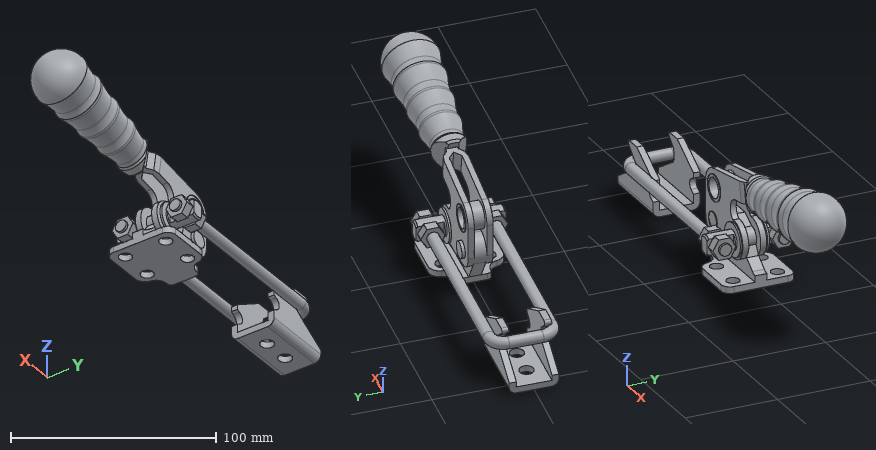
import cadquery as cq
import math


overall_length = 214.5
overall_height = 76.5
sheet = 3.6
lever_y = -0.6
grip_y = -1.5
lever_width = 12.9
fork_gap = 6.5
lever_angle = math.radians(10)

draw_z = 20.2
trunnion_x = 118.8
pin_x, pin_z = 95.6, 21.0
tube_x, tube_z = 97.0, 38.8

lever_corner_radius = 10.0
pin_corner_radius = 8.8
notch_x, notch_z, notch_radius = 121.0, 35.5, 6.2

axis_dir = (math.cos(lever_angle), math.sin(lever_angle))
axis_up = (-math.sin(lever_angle), math.cos(lever_angle))


def offset(x, z, direction, distance):
    """Point at a distance from (x, z) along a unit direction in the XZ plane."""
    return (x + distance * direction[0], z + distance * direction[1])


def unit(degrees):
    """Unit direction in the XZ plane at an angle from +X."""
    angle = math.radians(degrees)
    return (math.cos(angle), math.sin(angle))


def side_plane(middle_y, width):
    """XZ workplane on the +Y face of a slab, so that a positive extrude fills the slab."""
    return cq.Workplane("XZ", origin=(0, middle_y + width / 2, 0))


def cross_rod(x, z, radius, middle_y, length):
    """Cylinder along Y, centred on middle_y."""
    return side_plane(middle_y, length).center(x, z).circle(radius).extrude(length)


catch_length = 39.7
catch_width = 25.5
catch_bend_radius = 3.9
catch_hole_radius = 3.6
catch_hole_xs = (12.2, 27.5)
catch_top = 30.7
catch_back_z = 20.0


def make_catch():
    side = (
        side_plane(0, catch_width)
        .moveTo(0, 0)
        .lineTo(catch_length, 0)
        .lineTo(catch_length, 8.5)
        .lineTo(36.9, 10.0)
        .threePointArc((35.4, 13.3), (38.2, 16.3))
        .lineTo(catch_length, 17.2)
        .lineTo(catch_length, catch_back_z)
        .lineTo(21.5, catch_top)
        .lineTo(13.0, catch_top)
        .threePointArc((11.5, 29.5), (12.0, 28.3))
        .lineTo(17.2, 23.8)
        .threePointArc((17.8, draw_z), (16.5, 16.3))
        .lineTo(0, 6.6)
        .close()
        .extrude(catch_width)
        .edges("|X and <Z")
        .fillet(catch_bend_radius)
    )
    channel = cq.Workplane("XY").box(
        catch_length, catch_width - 2 * sheet, catch_top, centered=(False, True, False)
    )
    holes = (
        cq.Workplane("XY")
        .pushPoints([(x, 0) for x in catch_hole_xs])
        .circle(catch_hole_radius)
        .extrude(sheet)
    )
    return side.cut(channel.translate((0, 0, sheet))).cut(holes)


rod_radius = 3.2
rod_leg_y = 16.0
rod_cross_x = 14.8
rod_end_x = 128.5
rod_bend_radius = 7.3
nut_flats = 11.0
nut_corners = nut_flats / math.cos(math.pi / 6)
nut_length = 5.1
trunnion_thickness = 6.2


def make_draw_bar():
    path = (
        cq.Workplane("XY", origin=(0, 0, draw_z))
        .moveTo(rod_end_x, -rod_leg_y)
        .lineTo(rod_cross_x + rod_bend_radius, -rod_leg_y)
        .tangentArcPoint((rod_cross_x, rod_bend_radius - rod_leg_y), relative=False)
        .lineTo(rod_cross_x, rod_leg_y - rod_bend_radius)
        .tangentArcPoint((rod_cross_x + rod_bend_radius, rod_leg_y), relative=False)
        .lineTo(rod_end_x, rod_leg_y)
    )
    bar = (
        cq.Workplane("YZ", origin=(rod_end_x, -rod_leg_y, draw_z))
        .circle(rod_radius)
        .sweep(path)
    )
    nut_starts = (
        trunnion_x - trunnion_thickness / 2 - nut_length,
        trunnion_x + trunnion_thickness / 2,
    )
    for x in nut_starts:
        nuts = (
            cq.Workplane("YZ", origin=(x, 0, draw_z))
            .pushPoints([(-rod_leg_y, 0), (rod_leg_y, 0)])
            .polygon(6, nut_corners)
            .extrude(nut_length)
        )
        bar = bar.union(nuts)
    return bar


trunnion_length = 46.0
trunnion_radius = 5.4
trunnion_chamfer = 0.9
round_half_length = 8.8
washer_radius = 9.0
washer_outer_y, washer_inner_y = 8.0, 6.9


def make_trunnion():
    pin = cross_rod(trunnion_x, draw_z, trunnion_radius, 0, trunnion_length)
    pin = pin.faces("<Y or >Y").chamfer(trunnion_chamfer)
    flats = cq.Workplane("XY", origin=(trunnion_x, 0, draw_z)).box(
        trunnion_thickness, trunnion_length, 2 * trunnion_radius
    )
    core = cross_rod(trunnion_x, draw_z, trunnion_radius, 0, 2 * round_half_length)
    washers = cross_rod(trunnion_x, draw_z, washer_radius, 0, 2 * washer_outer_y)
    washer_gap = cross_rod(trunnion_x, draw_z, washer_radius, 0, 2 * washer_inner_y)
    return pin.intersect(flats).union(core).union(washers.cut(washer_gap))


base_left, base_right = 95.8, 136.0
flange_half_width = 19.3
tongue_half_width = 9.0
tongue_end_x = 99.0
shoulder_x = 110.8
flange_corner_radius = 4.7
tongue_corner_radius = 2.5
base_hole_radius = 3.5
base_hole_y = 12.0
base_hole_xs = (110.8, 129.3)
web_top = pin_z + pin_corner_radius
web_top_end_x = 111.0
web_right_z = 7.0


def make_flange():
    mid_x = (tongue_end_x + shoulder_x) / 2
    mid_y = (tongue_half_width + flange_half_width) / 2
    half = (
        cq.Workplane("XY", origin=(0, lever_y, 0))
        .moveTo(base_left, 0)
        .lineTo(base_left, tongue_half_width)
        .lineTo(tongue_end_x, tongue_half_width)
        .tangentArcPoint((mid_x, mid_y), relative=False)
        .tangentArcPoint((shoulder_x, flange_half_width), relative=False)
        .lineTo(base_right, flange_half_width)
        .lineTo(base_right, 0)
        .close()
        .extrude(sheet)
    )
    half = half.edges("|Z and >X and >Y").fillet(flange_corner_radius)
    flange = half.union(half.mirror("XZ", (0, lever_y, 0)))
    flange = flange.edges("|Z and <X").fillet(tongue_corner_radius)
    holes = (
        cq.Workplane("XY", origin=(0, lever_y, 0))
        .pushPoints([(x, side * base_hole_y) for x in base_hole_xs for side in (-1, 1)])
        .circle(base_hole_radius)
        .extrude(sheet)
    )
    return flange.cut(holes)


def make_web():
    return (
        side_plane(lever_y, fork_gap)
        .moveTo(base_left, 0)
        .lineTo(base_left, sheet)
        .lineTo(*offset(pin_x, pin_z, unit(210), pin_corner_radius))
        .threePointArc(
            offset(pin_x, pin_z, unit(150), pin_corner_radius),
            (pin_x, web_top),
        )
        .lineTo(web_top_end_x, web_top)
        .lineTo(trunnion_x, draw_z + trunnion_radius)
        .lineTo(126.5, 12.9)
        .lineTo(133.0, 8.1)
        .threePointArc((134.5, 7.3), (base_right, web_right_z))
        .lineTo(base_right, 0)
        .close()
        .extrude(fork_gap)
    )


ball_diameter = 30.2
ball_radius = ball_diameter / 2
ball_x = overall_length - ball_radius
ball_z = overall_height - ball_radius
collar_start = -67.0
collar_start_radius = 8.8
collar_radius = 9.9
collar_slope = 1.3
neck = (-60.0, 9.2)
first_valley = (-57.5, 9.0)
crests = ((-47.4, 11.1), (-31.7, 12.5), (-15.2, 14.0))
valleys = ((-41.2, 10.7), (-25.3, 12.0), (-9.9, 13.3))
crest_land = 1.3
rise_sag = 0.25
wedge_start_half_width = 2.8
wedge_length = 10.7


def hollow_mid(start, end):
    """Middle point of a rising stretch, pushed slightly inwards."""
    return ((start[0] + end[0]) / 2, (start[1] + end[1]) / 2 - rise_sag)


def make_grip():
    profile = (
        cq.Workplane("XY")
        .moveTo(collar_start, 0)
        .lineTo(collar_start, collar_start_radius)
        .lineTo(collar_start + collar_slope, collar_radius)
        .lineTo(neck[0] - collar_slope, collar_radius)
        .lineTo(*neck)
        .lineTo(*first_valley)
    )
    start = first_valley
    for crest, valley in zip(crests, valleys):
        land_end = (crest[0] + crest_land, crest[1])
        profile = (
            profile.threePointArc(hollow_mid(start, crest), crest)
            .lineTo(*land_end)
            .threePointArc(hollow_mid(land_end, valley), valley)
        )
        start = valley
    ball_start = (0, ball_radius)
    diagonal = ball_radius * math.sqrt(0.5)
    grip = (
        profile.threePointArc(hollow_mid(start, ball_start), ball_start)
        .threePointArc((diagonal, diagonal), (ball_radius, 0))
        .close()
        .revolve(360, (0, 0, 0), (1, 0, 0))
    )
    wide = wedge_start_half_width + wedge_length
    wedge = (
        cq.Workplane("XY", origin=(0, 0, -ball_radius))
        .moveTo(collar_start, -wedge_start_half_width)
        .lineTo(collar_start + wedge_length, -wide)
        .lineTo(collar_start + wedge_length, -2 * ball_radius)
        .lineTo(2 * ball_radius, -2 * ball_radius)
        .lineTo(2 * ball_radius, 2 * ball_radius)
        .lineTo(collar_start + wedge_length, 2 * ball_radius)
        .lineTo(collar_start + wedge_length, wide)
        .lineTo(collar_start, wedge_start_half_width)
        .close()
        .extrude(2 * ball_radius)
    )
    grip = grip.intersect(wedge)
    grip = grip.rotate((0, 0, 0), (0, 1, 0), -math.degrees(lever_angle))
    return grip.translate((ball_x, grip_y, ball_z))


tang_end = -60.0
tang_half_width = 3.0
bend_start, bend_middle, bend_end = -74.5, -71.0, -68.0
bend_middle_half_width = 5.5
fork_end, fork_apex = -73.1, -70.0
tube_radius = 7.0
tube_bore_radius = 5.4
tube_length = 13.7
pin_radius = 4.5
pin_length = 15.0


def make_lever_blank():
    """Lever outline in XZ, filled over the full lever width."""
    tang_top = offset(tube_x, tube_z, axis_up, lever_corner_radius)
    notch_top = offset(notch_x, notch_z, axis_up, notch_radius)
    arm_length = (ball_x - tube_x) / axis_dir[0] + tang_end
    notch_length = (ball_x - notch_x) / axis_dir[0] + tang_end
    span = math.hypot(trunnion_x - pin_x, draw_z - pin_z)
    tilt = math.degrees(
        math.atan2(draw_z - pin_z, trunnion_x - pin_x)
        - math.asin((lever_corner_radius - pin_corner_radius) / span)
    )
    under = unit(tilt - 90)
    blank = (
        side_plane(lever_y, lever_width)
        .moveTo(tube_x - lever_corner_radius, pin_z)
        .lineTo(tube_x - lever_corner_radius, tube_z)
        .threePointArc(offset(tube_x, tube_z, unit(140), lever_corner_radius), tang_top)
        .lineTo(*offset(*tang_top, axis_dir, arm_length))
        .lineTo(*offset(*notch_top, axis_dir, notch_length))
        .lineTo(*notch_top)
        .threePointArc(
            (notch_x - notch_radius, notch_z),
            offset(notch_x, notch_z, unit(240), notch_radius),
        )
        .lineTo(*offset(trunnion_x, draw_z, unit(95), lever_corner_radius))
        .threePointArc(
            offset(trunnion_x, draw_z, unit(0), lever_corner_radius),
            offset(trunnion_x, draw_z, under, lever_corner_radius),
        )
        .lineTo(*offset(pin_x, pin_z, under, pin_corner_radius))
        .threePointArc(
            offset(pin_x, pin_z, unit(225), pin_corner_radius),
            (tube_x - lever_corner_radius, pin_z),
        )
        .close()
    )
    return blank.extrude(lever_width)


def make_lever():
    half_width = lever_width / 2
    half_gap = fork_gap / 2
    reach = 150
    plan = cq.Workplane(
        cq.Plane(
            origin=(ball_x, lever_y, ball_z),
            xDir=(axis_dir[0], 0, axis_dir[1]),
            normal=(axis_up[0], 0, axis_up[1]),
        )
    )
    plates = plan.polyline(
        [
            (-reach, -half_width),
            (bend_start, -half_width),
            (bend_middle, -bend_middle_half_width),
            (bend_end, -tang_half_width),
            (tang_end, -tang_half_width),
            (tang_end, tang_half_width),
            (bend_end, tang_half_width),
            (bend_middle, bend_middle_half_width),
            (bend_start, half_width),
            (-reach, half_width),
        ]
    ).close().extrude(reach, both=True)
    gap = plan.polyline(
        [
            (-reach, -half_gap),
            (fork_end, -half_gap),
            (fork_apex, 0),
            (fork_end, half_gap),
            (-reach, half_gap),
        ]
    ).close().extrude(reach, both=True)
    lever = make_lever_blank().intersect(plates).cut(gap)
    tube = cross_rod(tube_x, tube_z, tube_radius, lever_y, tube_length)
    bore = cross_rod(tube_x, tube_z, tube_bore_radius, lever_y, tube_length)
    pin = cross_rod(pin_x, pin_z, pin_radius, 0, pin_length)
    return lever.union(tube).cut(bore).union(pin)


result = (
    make_catch()
    .union(make_draw_bar())
    .union(make_trunnion())
    .union(make_flange())
    .union(make_web())
    .union(make_lever())
    .union(make_grip())
)